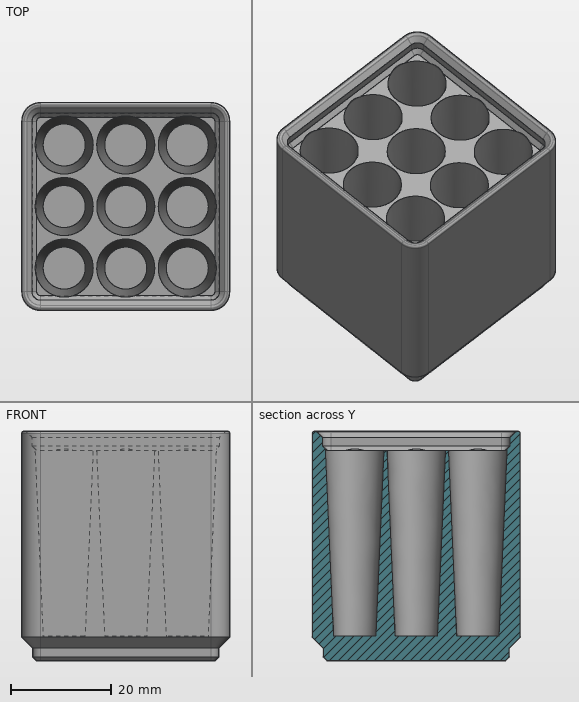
import cadquery as cq
import math

width = 41.5
height = 45.8
corner_radius = 3.75

foot_chamfer = 0.8
foot_wall_height = 1.8
foot_flare = 2.15
foot_wall_top = foot_chamfer + foot_wall_height

rim_outer_radius = 0.45
rim_inner_radius = 0.8
rim_flat = 0.05
lip_wall_inset = 2.05
lip_wall_height = 1.7
lower_slope = 0.9
slope_angle = 45
rim_inner_setback = rim_inner_radius * math.tan(math.radians(slope_angle / 2))
rim_width = rim_outer_radius + rim_flat + rim_inner_setback
upper_slope = lip_wall_inset - rim_width
lip_depth = upper_slope + lip_wall_height + lower_slope
deck_height = height - lip_depth

well_count = 3
well_pitch = 12.27
well_diameter = 11.6
well_floor_diameter = 8.4
well_floor_height = 5.0

overshoot = 0.45


def rounded_prism(bottom, top, inset):
    """Rounded square column whose sides lie the given inset inside the outer walls."""
    side = width - 2 * inset
    return (
        cq.Workplane("XY")
        .workplane(offset=bottom)
        .rect(side, side)
        .extrude(top - bottom)
        .edges("|Z")
        .fillet(corner_radius - inset)
    )


def make_body():
    """Solid block that flares out from a narrower chamfered foot."""
    foot = rounded_prism(0, foot_wall_top, foot_flare).faces("<Z").chamfer(foot_chamfer)
    block = rounded_prism(foot_wall_top, height, 0).faces("<Z").chamfer(foot_flare)
    return block.union(foot)


def make_lip_recess():
    """Recess inside the lip: slope, upright wall, then a second slope to the deck."""
    lower = rounded_prism(deck_height, height, lip_wall_inset)
    lower = lower.faces("<Z").chamfer(lower_slope)
    mouth = rounded_prism(height - upper_slope, height + overshoot, rim_width)
    mouth = mouth.faces("<Z").chamfer(upper_slope)
    return lower.union(mouth)


def round_rim(cup):
    """Round the outer edge of the flat rim, then its inner edge."""
    outer_edges = cup.faces(">Z").val().outerWire().Edges()
    cup = cup.newObject(outer_edges).fillet(rim_outer_radius)
    inner_edges = cup.faces(">Z").val().innerWires()[0].Edges()
    return cup.newObject(inner_edges).fillet(rim_inner_radius)


def make_wells():
    """Round wells that narrow evenly from the deck down to a flat floor.

    Above the deck each well runs straight up, trimming the foot of the lip's lower slope.
    """
    profile = [
        (0, well_floor_height),
        (well_floor_diameter / 2, well_floor_height),
        (well_diameter / 2, deck_height),
        (well_diameter / 2, height),
        (0, height),
    ]
    well = cq.Workplane("XZ").polyline(profile).close().revolve(360, (0, 0), (0, 1)).val()
    centres = cq.Workplane("XY").rarray(well_pitch, well_pitch, well_count, well_count)
    return centres.eachpoint(lambda centre: well.moved(centre))


cup = make_body().cut(make_lip_recess())
result = round_rim(cup).cut(make_wells())